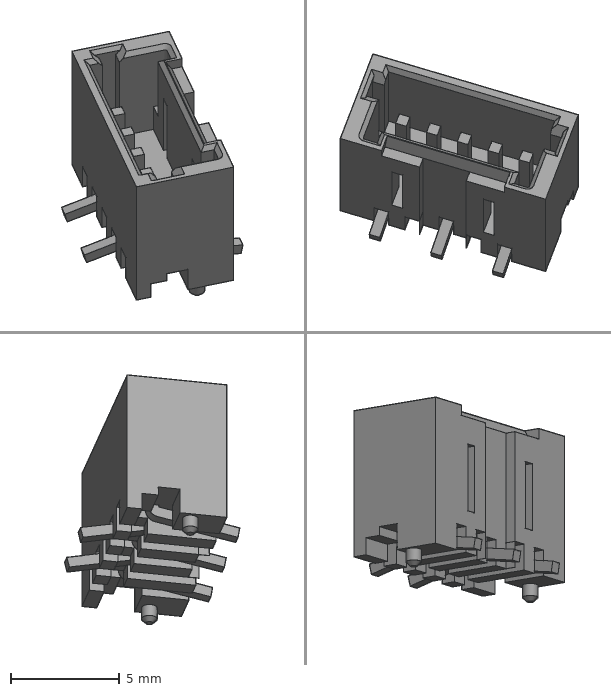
import cadquery as cq
import math


length = 10.0
depth = 4.7
height = 6.92

cavity_half_x = 4.04
cavity_front_y = 0.56
pocket_rear_y = 4.27
wall_half_x = 3.34
wall_front_y = 3.64
corner_radius = 0.1
mouth_chamfer = 0.21
floor_z = 2.0
pocket_floor_z = 3.39

notch_half_x = 4.61
notch_front_y = 1.19
notch_rear_y = 1.99
notch_side_chamfer = 0.4
notch_end_chamfer = 0.18

relief_half_x = 2.99
relief_front_y = 4.2
ledge_drop = 0.5
lip_land = 0.04
gap_half_x = 1.13
window_x = 2.23
window_width = 0.52
window_top_z = 5.16

slot_width = 0.7
slot_height = 1.23
channel_front_y = 0.7
channel_rear_y = 1.47
channel_height = 0.81
side_pocket_rear_y = 2.49

pin_count = 5
pitch = 1.5
pin_size = 0.52
pin_y = 1.6
pin_top_z = 4.5
bend_z = 1.13
leg_tip_z = 0.46
leg_thickness = 0.51
inner_bend_radius = 0.06
front_leg_overhang = 1.51
rear_leg_overhang = 0.99

peg_x = 4.51
peg_y = 3.08
peg_diameter = 0.73
peg_length = 0.78
peg_chamfer = 0.21

pin_xs = [(i - (pin_count - 1) / 2) * pitch for i in range(pin_count)]


def block(x_range, y_range, z_range):
    """Box spanning three (low, high) ranges."""
    (x0, x1), (y0, y1), (z0, z1) = x_range, y_range, z_range
    return cq.Workplane("XY").box(x1 - x0, y1 - y0, z1 - z0, centered=False).translate((x0, y0, z0))


def centred(half_width):
    return (-half_width, half_width)


def cavity_outline(flare):
    """U-shaped cavity outline, grown outwards by flare."""
    side = cavity_half_x + flare
    front = cavity_front_y - flare
    rear = pocket_rear_y + flare
    wall_side = wall_half_x - flare
    wall_front = wall_front_y + flare
    radius = corner_radius + flare
    return (
        cq.Workplane("XY")
        .moveTo(-side, front)
        .lineTo(side, front)
        .lineTo(side, rear - radius)
        .radiusArc((side - radius, rear), -radius)
        .lineTo(wall_side, rear)
        .lineTo(wall_side, wall_front)
        .lineTo(-wall_side, wall_front)
        .lineTo(-wall_side, rear)
        .lineTo(-side + radius, rear)
        .radiusArc((-side, rear - radius), -radius)
        .close()
        .val()
    )


def cavity():
    """Main cavity with raised rear pockets and a 45 degree flared mouth."""
    outline = cavity_outline(0)
    pocket_base = outline.translate(cq.Vector(0, 0, pocket_floor_z))
    throat = outline.translate(cq.Vector(0, 0, height - mouth_chamfer))
    rim = cavity_outline(mouth_chamfer).translate(cq.Vector(0, 0, height))
    bore = cq.Workplane(pocket_base).toPending().extrude(height - pocket_floor_z)
    deep_bore = block(centred(cavity_half_x), (cavity_front_y, wall_front_y), (floor_z, height))
    mouth = cq.Solid.makeLoft([throat, rim], True)
    return bore.union(deep_bore).union(mouth)


def notches():
    """Pair of keying notches, flared at their sides and ends."""
    mouth_half_x = notch_half_x + notch_end_chamfer
    side_z = height - notch_side_chamfer
    end_z = height - notch_end_chamfer
    across = (
        cq.Workplane("YZ", origin=(-mouth_half_x, 0, 0))
        .polyline([
            (notch_front_y, floor_z),
            (notch_rear_y, floor_z),
            (notch_rear_y, side_z),
            (notch_rear_y + notch_side_chamfer, height),
            (notch_front_y - notch_side_chamfer, height),
            (notch_front_y, side_z),
        ])
        .close()
        .extrude(2 * mouth_half_x)
    )
    along = (
        cq.Workplane("XZ")
        .polyline([
            (-notch_half_x, floor_z),
            (notch_half_x, floor_z),
            (notch_half_x, end_z),
            (mouth_half_x, height),
            (-mouth_half_x, height),
            (-notch_half_x, end_z),
        ])
        .close()
        .extrude(-depth)
    )
    return across.intersect(along)


def rear_relief():
    """Cut behind the rear wall that leaves two ledges, an open gap and a sloped lip."""
    ledge_z = height - ledge_drop
    crest_y = wall_front_y + mouth_chamfer + lip_land
    above_ledges = (
        cq.Workplane("YZ", origin=(-relief_half_x, 0, 0))
        .polyline([
            (crest_y, height),
            (relief_front_y, ledge_z),
            (depth, ledge_z),
            (depth, height),
        ])
        .close()
        .extrude(2 * relief_half_x)
    )
    gap = block(centred(gap_half_x), (relief_front_y, depth), (0, height))
    return above_ledges.union(gap)


def window(x):
    """Window through the rear wall, down to the cavity floor."""
    half = window_width / 2
    return block((x - half, x + half), (wall_front_y, depth), (floor_z, window_top_z))


def underside_cuts():
    """Contact slots running front to back, a cross channel and the open end pockets."""
    half_slot = slot_width / 2
    cuts = block(centred(length / 2), (channel_front_y, channel_rear_y), (0, channel_height))
    for x in pin_xs:
        cuts = cuts.union(block((x - half_slot, x + half_slot), (0, depth), (0, slot_height)))
    end_pocket_y = (channel_rear_y, side_pocket_rear_y)
    cuts = cuts.union(block((-length / 2, pin_xs[0]), end_pocket_y, (0, slot_height)))
    cuts = cuts.union(block((pin_xs[-1], length / 2), end_pocket_y, (0, slot_height)))
    return cuts


def contact(x, side, tip_y):
    """Upright pin whose leg bends towards side (-1 front, +1 rear) and droops to tip_y."""
    inner_y = pin_y + side * pin_size / 2
    outer_y = pin_y - side * pin_size / 2
    run = abs(tip_y - inner_y)
    slope = math.atan2(bend_z - leg_tip_z, run)

    heel_y = tip_y - side * leg_thickness * math.sin(slope)
    heel_z = leg_tip_z - leg_thickness * math.cos(slope)

    def bend_ends(y, z, radius):
        """Points where a bend rounding the corner (y, z) meets the leg and the pin."""
        tangent = radius * math.tan((math.pi / 2 - slope) / 2)
        on_leg = (y + side * tangent * math.cos(slope), z - tangent * math.sin(slope))
        return on_leg, (y, z + tangent)

    sharp_z = heel_z + abs(heel_y - outer_y) * math.tan(slope)
    outer_bend_radius = inner_bend_radius + leg_thickness
    outer_arc_leg, outer_arc_pin = bend_ends(outer_y, sharp_z, outer_bend_radius)
    inner_arc_leg, inner_arc_pin = bend_ends(inner_y, bend_z, inner_bend_radius)

    return (
        cq.Workplane("YZ", origin=(x - pin_size / 2, 0, 0))
        .moveTo(inner_y, pin_top_z)
        .lineTo(*inner_arc_pin)
        .radiusArc(inner_arc_leg, -side * inner_bend_radius)
        .lineTo(tip_y, leg_tip_z)
        .lineTo(heel_y, heel_z)
        .lineTo(*outer_arc_leg)
        .radiusArc(outer_arc_pin, side * outer_bend_radius)
        .lineTo(outer_y, pin_top_z)
        .close()
        .extrude(pin_size)
    )


def peg(x):
    """Locating peg with a chamfered end."""
    return (
        cq.Workplane("XY", origin=(x, peg_y, 0))
        .circle(peg_diameter / 2)
        .extrude(-peg_length)
        .faces("<Z")
        .chamfer(peg_chamfer)
    )


result = block(centred(length / 2), (0, depth), (0, height))
for cut in (cavity(), notches(), rear_relief(), underside_cuts(), window(-window_x), window(window_x)):
    result = result.cut(cut)

for index, pin_x in enumerate(pin_xs):
    if index % 2 == 0:
        result = result.union(contact(pin_x, 1, depth + rear_leg_overhang))
    else:
        result = result.union(contact(pin_x, -1, -front_leg_overhang))

for x in (-peg_x, peg_x):
    result = result.union(peg(x))